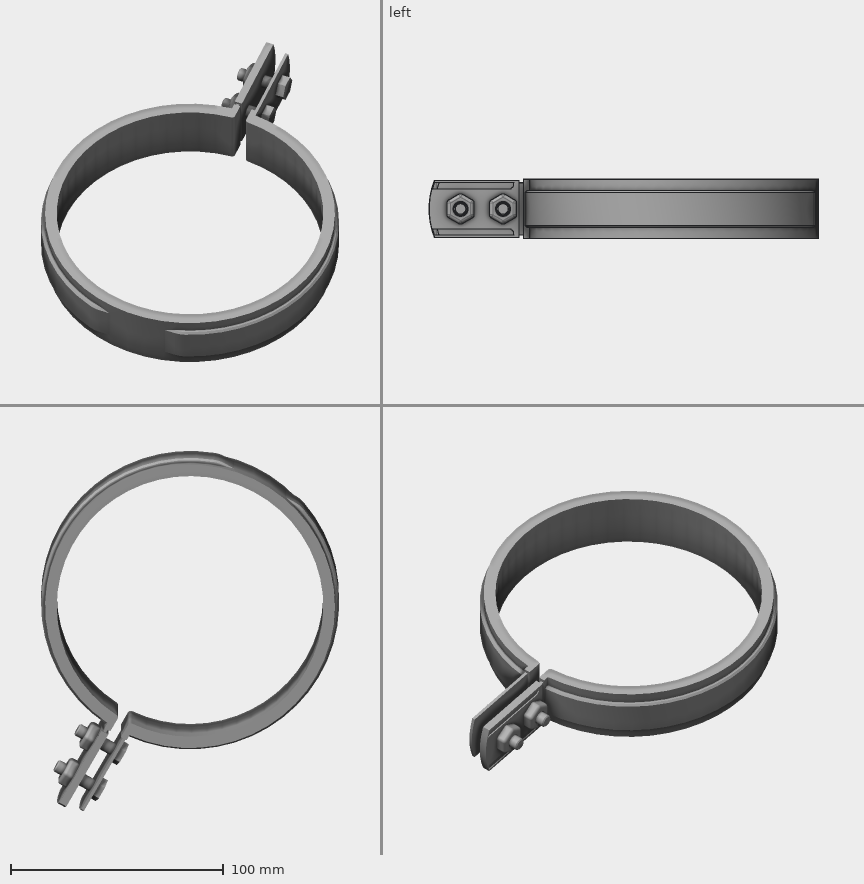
import cadquery as cq
import math

OVERALL_LENGTH = 182.8

INNER_RADIUS = 62.5
OUTER_RADIUS = 68.0
LINING_HEIGHT = 28.0
GAP_WIDTH = 5.7
LUG_THICKNESS = 3.1
LUG_TOP_Y = 70.5
LUG_FILLET = 1.5

BEAD_DIAMETER = 139.9
BEAD_RADIUS = BEAD_DIAMETER / 2
BEAD_HEIGHT = 17.4
BEAD_CHAMFER = 1.0
BEAD_FLAT_Y = -66.5
BEAD_FLAT_FILLET = 14.6

PICK_MARGIN = 0.2

TAB_THICKNESS = 1.5
TAB_HEIGHT = 24.7
TAB_INNER_X = 4.0
TAB_END_Y = 112.3

STIFFENER_THICKNESS = 3.7
STIFFENER_HEIGHT = 26.9
STIFFENER_START_Y = 72.6
STIFFENER_END_Y = OVERALL_LENGTH - OUTER_RADIUS
END_ARC_RADIUS = 36.5

GROOVE_DEPTH = 0.5
GROOVE_WIDTH = 3.0
GROOVE_EDGE_MARGIN = 1.1
GROOVE_START_Y = 75.2
GROOVE_END_Y = 113.2
GROOVE_END_SLANT = 1.0
GROOVE_RAMP_LENGTH = 1.8
GROOVE_CORNER = 1.3

BOLT_POSITIONS_Y = (80.0, 100.0)
BOLT_DIAMETER = 6.0
BOLT_TIP_DIAMETER = 5.0
BOLT_TIP_X = -15.4
HEAD_ACROSS_CORNERS = 11.5
HEAD_THICKNESS = 3.8
NUT_ACROSS_FLATS = 12.8
NUT_THICKNESS = 4.8
NUT_CORNER_FILLET = 1.74
NUT_RIM_FILLET = 1.6
NUT_MOUTH_DIAMETER = 7.0

HALF_GAP = GAP_WIDTH / 2
LUG_OUTER_X = HALF_GAP + LUG_THICKNESS
TAB_OUTER_X = TAB_INNER_X + TAB_THICKNESS
STIFFENER_INNER_X = -HALF_GAP
STIFFENER_OUTER_X = STIFFENER_INNER_X - STIFFENER_THICKNESS


def box(x_min, x_max, y_min, y_max, height):
    """Block between the given X and Y limits, centred on Z = 0."""
    size_x = x_max - x_min
    size_y = y_max - y_min
    return cq.Workplane("XY").box(size_x, size_y, height).translate(
        ((x_min + x_max) / 2, (y_min + y_max) / 2, 0)
    )


def disc(radius, height):
    return cq.Workplane("XY").circle(radius).extrude(height / 2, both=True)


def rod(diameter, x_start, x_end, y):
    """Cylinder along X."""
    return cq.Workplane("YZ", origin=(x_start, y, 0)).circle(diameter / 2).extrude(x_end - x_start)


def round_ended_plate(x_min, x_max, start_y, end_y, height):
    """Plate normal to X whose far end is a shallow arc."""
    half = height / 2
    corner_y = end_y - END_ARC_RADIUS + math.sqrt(END_ARC_RADIUS**2 - half**2)
    return (
        cq.Workplane("YZ", origin=(x_min, 0, 0))
        .moveTo(start_y, -half)
        .lineTo(corner_y, -half)
        .threePointArc((end_y, 0), (corner_y, half))
        .lineTo(start_y, half)
        .close()
        .extrude(x_max - x_min)
    )


def cut_bolt_holes(plate):
    for y in BOLT_POSITIONS_Y:
        plate = plate.cut(rod(BOLT_DIAMETER, STIFFENER_OUTER_X, TAB_OUTER_X, y))
    return plate


def make_beads():
    """Both beads: a chamfered disc with a flat, without the stretch between the lugs."""
    below_flat = box(-BEAD_RADIUS, BEAD_RADIUS, -2 * BEAD_RADIUS, BEAD_FLAT_Y, LINING_HEIGHT)
    beads = disc(BEAD_RADIUS, BEAD_HEIGHT).cut(below_flat)
    flat_ends = cq.selectors.BoxSelector(
        (-BEAD_RADIUS, BEAD_FLAT_Y - PICK_MARGIN, -BEAD_HEIGHT),
        (BEAD_RADIUS, BEAD_FLAT_Y + PICK_MARGIN, BEAD_HEIGHT),
    )
    beads = beads.edges("|Z").edges(flat_ends).fillet(BEAD_FLAT_FILLET)
    beads = beads.faces("<Z or >Z").edges().chamfer(BEAD_CHAMFER)
    return beads.cut(box(-LUG_OUTER_X, LUG_OUTER_X, 0, 2 * BEAD_RADIUS, LINING_HEIGHT))


def make_lining():
    lugs = box(-LUG_OUTER_X, LUG_OUTER_X, INNER_RADIUS, LUG_TOP_Y, LINING_HEIGHT)
    lining = disc(OUTER_RADIUS, LINING_HEIGHT).union(lugs).union(make_beads())
    lining = lining.cut(disc(INNER_RADIUS, LINING_HEIGHT))
    lining = lining.cut(box(-HALF_GAP, HALF_GAP, 0, LUG_TOP_Y, LINING_HEIGHT))
    gap_corners = cq.selectors.BoxSelector(
        (-HALF_GAP - PICK_MARGIN, 0, -LINING_HEIGHT),
        (HALF_GAP + PICK_MARGIN, OUTER_RADIUS, LINING_HEIGHT),
    )
    return lining.edges("|Z").edges(gap_corners).fillet(LUG_FILLET)


def make_tab(side):
    """Strap tab; side is -1 for the left one and 1 for the right one."""
    x_min, x_max = sorted((side * TAB_INNER_X, side * TAB_OUTER_X))
    return cut_bolt_holes(round_ended_plate(x_min, x_max, LUG_TOP_Y, TAB_END_Y, TAB_HEIGHT))


def make_groove(side):
    """Cutter for one groove, ramped at its far end; side is the sign of its Z."""
    outer_z = side * (STIFFENER_HEIGHT / 2 - GROOVE_EDGE_MARGIN)
    inner_z = outer_z - side * GROOVE_WIDTH
    outline = [
        (GROOVE_START_Y, outer_z),
        (GROOVE_END_Y - GROOVE_END_SLANT, outer_z),
        (GROOVE_END_Y, inner_z),
        (GROOVE_START_Y + GROOVE_CORNER, inner_z),
        (GROOVE_START_Y, inner_z + side * GROOVE_CORNER),
    ]
    groove = cq.Workplane("YZ", origin=(STIFFENER_OUTER_X, 0, 0)).polyline(outline).close()
    groove = groove.extrude(GROOVE_DEPTH)
    floor_x = STIFFENER_OUTER_X + GROOVE_DEPTH
    ramp = (
        cq.Workplane("XY")
        .moveTo(floor_x, GROOVE_END_Y - GROOVE_RAMP_LENGTH)
        .lineTo(floor_x, GROOVE_END_Y)
        .lineTo(STIFFENER_OUTER_X, GROOVE_END_Y)
        .close()
        .extrude(STIFFENER_HEIGHT / 2, both=True)
    )
    return groove.cut(ramp)


def make_stiffener(tab):
    stiffener = round_ended_plate(
        STIFFENER_OUTER_X, STIFFENER_INNER_X, STIFFENER_START_Y, STIFFENER_END_Y, STIFFENER_HEIGHT
    )
    for side in (-1, 1):
        stiffener = stiffener.cut(make_groove(side))
    return cut_bolt_holes(stiffener).cut(tab)


def make_bolt(y):
    """Hexagon bolt with its head on the right tab and its chamfered tip at the left."""
    shank = rod(BOLT_DIAMETER, BOLT_TIP_X, TAB_OUTER_X, y)
    shank = shank.faces("<X").chamfer((BOLT_DIAMETER - BOLT_TIP_DIAMETER) / 2)
    head = (
        cq.Workplane("YZ", origin=(TAB_OUTER_X, y, 0))
        .polygon(6, HEAD_ACROSS_CORNERS)
        .extrude(HEAD_THICKNESS)
    )
    return shank.union(head)


def make_nut(y):
    """Hexagon nut with corners up and down, rounded corners and a rounded outer rim."""
    across_corners = NUT_ACROSS_FLATS / math.cos(math.pi / 6)
    nut = (
        cq.Workplane("YZ")
        .polygon(6, across_corners)
        .extrude(-NUT_THICKNESS)
        .edges("|X")
        .fillet(NUT_CORNER_FILLET)
        .faces("<X")
        .edges()
        .fillet(NUT_RIM_FILLET)
        .rotate((0, 0, 0), (1, 0, 0), 90)
        .translate((STIFFENER_OUTER_X, y, 0))
    )
    nut = nut.cut(rod(BOLT_DIAMETER, STIFFENER_OUTER_X - NUT_THICKNESS, STIFFENER_OUTER_X, y))
    mouth_chamfer = (NUT_MOUTH_DIAMETER - BOLT_DIAMETER) / 2
    mouth_edge = cq.selectors.RadiusNthSelector(-1)
    return nut.faces("<X").edges("%CIRCLE").edges(mouth_edge).chamfer(mouth_chamfer)


lining = make_lining()
left_tab = make_tab(-1)
right_tab = make_tab(1)
stiffener = make_stiffener(left_tab)
bolts = [make_bolt(y).val() for y in BOLT_POSITIONS_Y]
nuts = [make_nut(y).val() for y in BOLT_POSITIONS_Y]

result = cq.Compound.makeCompound(
    [lining.val(), left_tab.val(), right_tab.val(), stiffener.val(), *bolts, *nuts]
)